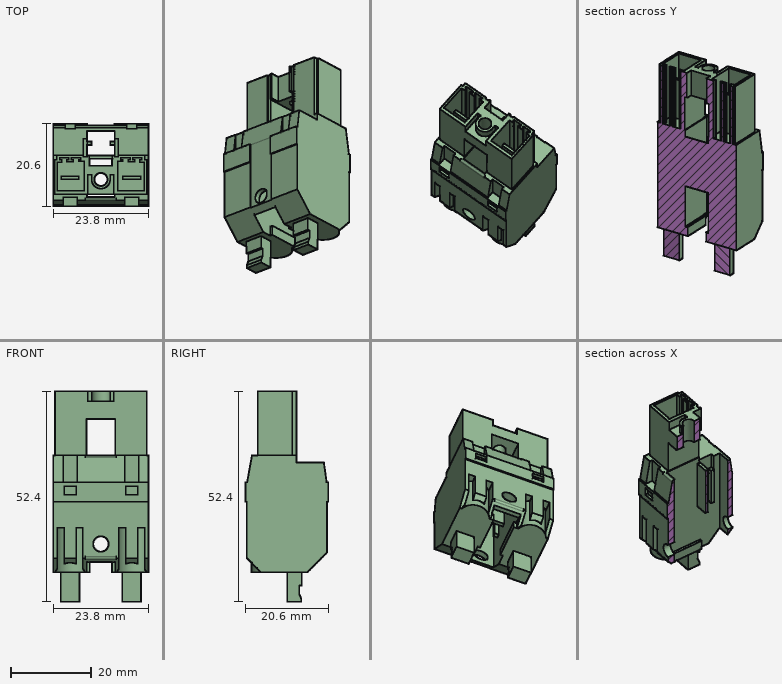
import cadquery as cq

total_height = 52.4

base_width = 23.75
base_depth = 20.6
base_bottom = 7.35
base_top = 36.45
rear_top = 34.7
wall_y = 10.0
slope_foot_y = 9.9
front_slope_top_y = 8.7
rear_slope_top_y = 9.2
front_chamfer = 3.55
rear_chamfer = 5.0

band_y = base_depth / 2
band_bottom = 24.9
band_top = 29.8
rear_band_gap = 6.75

tower_half_width = 11.4
tower_front_y = -7.3
tower_rear_y = 2.4
tower_corner_width = 0.45
tower_corner_length = 1.05

pole_x = 7.65
socket_floor = base_top
socket_outline = [
    (4.2, -6.4),
    (4.2, 1.0),
    (5.45, 1.0),
    (5.45, 1.3),
    (5.0, 1.3),
    (5.0, 1.8),
    (7.35, 1.8),
    (7.35, 1.3),
    (6.85, 1.3),
    (6.85, 0.85),
    (8.45, 0.85),
    (8.45, 1.3),
    (7.95, 1.3),
    (7.95, 1.8),
    (10.15, 1.8),
    (10.15, 1.3),
    (9.7, 1.3),
    (9.7, 0.7),
    (10.8, 0.7),
    (10.8, -6.4),
]

bridge_bottom = 45.5
bridge_gap_width = 7.15
bridge_rear_y = -0.1
bridge_slot_width = 5.75
boss_y = -3.55
boss_radius = 2.3
boss_bore = 3.2
boss_recess_width = 6.5
boss_recess_rear_y = -2.4
boss_recess_floor = 49.95

centre_width = 7.75
centre_top_rounding = 0.5
centre_bottom_rounding = 1.05
cavity_width = 6.8
cavity_front_y = -7.9
cavity_rear_y = 8.45
foot_slot_width = 5.45
foot_slot_top = 9.9
foot_recess_width = 7.15
foot_recess_rear_y = -6.4
cross_wall_thickness = 0.85
cross_wall_bottom = 20.95
nub_length = 1.1
nub_thickness = 0.95
nub_y = 5.45
nub_bottom = 20.95
nub_top = 31.45
cross_hole_diameter = 3.75
cross_hole_z = 14.4
rear_groove_width = 8.7
rear_groove_front_y = 2.1
rear_groove_rear_y = 6.55

front_grip_width = 3.45
front_grip_y = 7.95
rear_grip_width = 2.5
rear_grip_y = 9.05
latch_width = 2.95
latch_height = 2.15
latch_bottom = 26.65
latch_depth = 0.75

collar_radius = 4.1
collar_y = -4.75
collar_top = 18.45
slot_span = 6.4
slot_spine_width = 3.05

blade_width = 4.4
blade_thickness = 0.8
blade_y = -3.15
blade_top = 47.15

tab_width = 4.75
tab_front_y = 0.05
tab_rear_y = 3.7
tab_neck_y = 3.1
tab_toe_y = 3.6
tab_neck_top = 4.1
tab_neck_bottom = 2.05
tab_toe_top = 0.8


def block(x_range, y_range, z_range):
    """Box between the given limits on each axis."""
    size = [high - low for low, high in (x_range, y_range, z_range)]
    corner = (x_range[0], y_range[0], z_range[0])
    return cq.Workplane("XY").box(*size, centered=False).translate(corner)


def centred_block(x, width, y_range, z_range):
    """Box of the given width, centred on x."""
    return block((x - width / 2, x + width / 2), y_range, z_range)


def upright_cylinder(x, y, radius, z_range):
    circle = cq.Workplane("XY", origin=(x, y, z_range[0])).circle(radius)
    return circle.extrude(z_range[1] - z_range[0])


def base_slab(width):
    """Side profile of the base, extruded across the given width."""
    profile = [
        (front_chamfer - wall_y, base_bottom),
        (-wall_y, base_bottom + front_chamfer),
        (-wall_y, band_bottom),
        (-band_y, band_bottom),
        (-band_y, band_top),
        (-slope_foot_y, band_top),
        (-front_slope_top_y, base_top),
        (tower_rear_y, base_top),
        (tower_rear_y, rear_top),
        (rear_slope_top_y, rear_top),
        (slope_foot_y, band_top),
        (band_y, band_top),
        (band_y, band_bottom),
        (wall_y, band_bottom),
        (wall_y, base_bottom + rear_chamfer),
        (wall_y - rear_chamfer, base_bottom),
    ]
    return cq.Workplane("YZ").polyline(profile).close().extrude(width / 2, both=True)


def rounded_centre():
    """Middle stretch of the base, with the upper and lower front edges rounded."""
    slab = base_slab(centre_width)
    top_edge = cq.NearestToPointSelector((0, -front_slope_top_y, base_top))
    bottom_edge = cq.NearestToPointSelector((0, -wall_y, base_bottom + front_chamfer))
    slab = slab.edges(top_edge).fillet(centre_top_rounding)
    return slab.edges(bottom_edge).fillet(centre_bottom_rounding)


def base():
    side_width = (base_width - centre_width) / 2
    side_x = (centre_width + side_width) / 2
    body = rounded_centre()
    for side in (-1, 1):
        body = body.union(base_slab(side_width).translate((side * side_x, 0, 0)))
    return body


def towers():
    """Both towers and the bridge between them, as one block."""
    heights = (base_top, total_height)
    body = centred_block(0, 2 * tower_half_width, (tower_front_y, tower_rear_y), heights)
    corner_y = (tower_rear_y - tower_corner_length, tower_rear_y)
    for side in (-1, 1):
        corner_x = side * (tower_half_width - tower_corner_width / 2)
        body = body.cut(centred_block(corner_x, tower_corner_width, corner_y, heights))
    gap = centred_block(0, bridge_gap_width, (tower_front_y, tower_rear_y), (base_top, bridge_bottom))
    slot = centred_block(0, bridge_slot_width, (bridge_rear_y, tower_rear_y), heights)
    return body.cut(gap).cut(slot)


def socket(side):
    outline = [(side * x, y) for x, y in socket_outline]
    sketch = cq.Workplane("XY", origin=(0, 0, socket_floor)).polyline(outline).close()
    return sketch.extrude(total_height - socket_floor)


def boss_recess():
    """Recess in the front of the bridge that leaves a U-shaped screw boss standing."""
    heights = (boss_recess_floor, total_height)
    recess = centred_block(0, boss_recess_width, (tower_front_y, boss_recess_rear_y), heights)
    stem = centred_block(0, 2 * boss_radius, (boss_y, boss_recess_rear_y), heights)
    return recess.cut(upright_cylinder(0, boss_y, boss_radius, heights)).cut(stem)


def cavity():
    """Hollow through the middle of the base, crossed by a wall and two small ribs."""
    hollow = centred_block(0, cavity_width, (cavity_front_y, cavity_rear_y), (foot_slot_top, base_top))
    foot_slot = centred_block(0, foot_slot_width, (-wall_y, tower_rear_y), (base_bottom, foot_slot_top))
    rear_opening = centred_block(
        0, cavity_width, (tower_rear_y, cavity_rear_y), (base_bottom, foot_slot_top)
    )
    foot_recess = centred_block(
        0, foot_recess_width, (-wall_y, foot_recess_rear_y), (base_bottom, foot_slot_top)
    )
    cross_wall = centred_block(
        0, cavity_width, (tower_rear_y - cross_wall_thickness, tower_rear_y), (cross_wall_bottom, rear_top)
    )
    opening = hollow.union(foot_slot).union(foot_recess).union(rear_opening).cut(cross_wall)
    for side in (-1, 1):
        nub = centred_block(
            side * (cavity_width - nub_length) / 2,
            nub_length,
            (nub_y - nub_thickness / 2, nub_y + nub_thickness / 2),
            (nub_bottom, nub_top),
        )
        opening = opening.cut(nub)
    return opening


def cross_hole():
    circle = cq.Workplane("XZ", origin=(0, 0, cross_hole_z)).circle(cross_hole_diameter / 2)
    return circle.extrude(wall_y, both=True)


def rear_groove(side):
    """Shallow groove beside the cavity, continued up the rear of the tower."""
    width = (rear_groove_width - cavity_width) / 2
    x = side * (rear_groove_width - width) / 2
    return centred_block(x, width, (rear_groove_front_y, rear_groove_rear_y), (band_top, total_height))


def grips(x):
    """Finger pockets in the front and rear slopes."""
    front = centred_block(x, front_grip_width, (-band_y, -front_grip_y), (band_top, base_top))
    rear = centred_block(x, rear_grip_width, (rear_grip_y, band_y), (band_top, rear_top))
    return front.union(rear)


def latch_window(x):
    heights = (latch_bottom, latch_bottom + latch_height)
    return centred_block(x, latch_width, (-band_y, latch_depth - band_y), heights)


def collar(x):
    return upright_cylinder(x, collar_y, collar_radius, (base_bottom, collar_top))


def collar_slots(x):
    """Slots that bare the collar on both sides of a flat spine."""
    heights = (base_bottom, collar_top)
    opening = centred_block(x, slot_span, (-wall_y, collar_y), heights)
    return opening.cut(centred_block(x, slot_spine_width, (-wall_y, collar_y), heights))


def make_housing():
    body = base().union(towers())
    for side in (-1, 1):
        x = side * pole_x
        body = body.cut(socket(side)).cut(rear_groove(side))
        body = body.cut(grips(x)).cut(latch_window(x))
        body = body.cut(collar_slots(x)).union(collar(x))
    body = body.cut(boss_recess()).cut(cavity()).cut(cross_hole())
    body = body.cut(centred_block(0, rear_band_gap, (slope_foot_y, band_y), (base_bottom, band_top)))
    return body.cut(upright_cylinder(0, boss_y, boss_bore / 2, (base_bottom, total_height)))


def make_contact_blade(x):
    """Flat blade standing on the socket floor."""
    thickness = (blade_y - blade_thickness / 2, blade_y + blade_thickness / 2)
    return centred_block(x, blade_width, thickness, (socket_floor, blade_top))


def make_release_tab(x):
    """Tab hanging below the base, with a neck on its rear side."""
    profile = [
        (tab_front_y, 0),
        (tab_front_y, base_bottom),
        (tab_rear_y, base_bottom),
        (tab_rear_y, tab_neck_top),
        (tab_neck_y, tab_neck_top),
        (tab_neck_y, tab_neck_bottom),
        (tab_toe_y, tab_toe_top),
        (tab_toe_y, 0),
    ]
    tab = cq.Workplane("YZ").polyline(profile).close().extrude(tab_width / 2, both=True)
    return tab.translate((x, 0, 0))


housing = make_housing()
pole_places = (-pole_x, pole_x)
contact_blades = [make_contact_blade(x).val() for x in pole_places]
release_tabs = [make_release_tab(x).val() for x in pole_places]

result = cq.Compound.makeCompound([housing.val(), *contact_blades, *release_tabs])